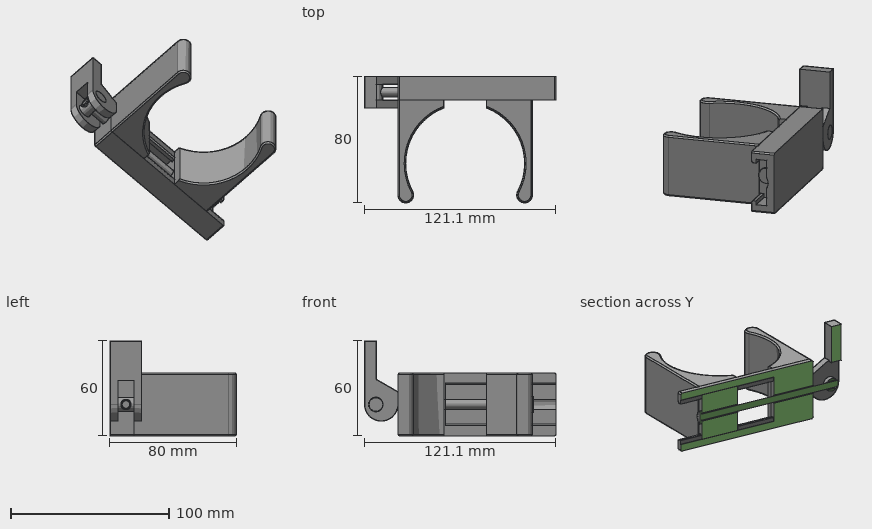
import cadquery as cq
import math


rail_length = 100.1
rail_depth = 15.0
height = 40.0
edge_chamfer = 1.0
slot_start = 30.0
slot_mouth_height = 25.0
slot_inner_height = 30.0
lip_thickness = 3.0
slot_depth = 10.0

jaw_width = 29.1
jaw_gap = 26.9
slider_setback = 1.0
jaw_reach = 80.0
tip_radius = 5.0
grip_radius = 37.5
grip_offset = 20.0

screw_diameter = 6.0
screw_hole_diameter = 6.5
head_diameter = 10.0
groove_diameter = 12.0
head_projection = 0.6
screw_end_chamfer = 0.6
screw_overhang = 4.7

lever_width = 20.0
lever_top = 60.0
arm_thickness = 7.5
arm_foot = 35.9
shoulder_angle = 30.0
cam_radius = 10.5
fork_gap = 9.9
fork_top = 35.1
pin_setback = 7.1
pin_diameter = 8.8
pin_hole_diameter = 9.0

screw_y = -lever_width / 2
screw_z = height / 2
tip_y = tip_radius - jaw_reach
grip_y = tip_y + grip_offset
sliding_jaw_start = jaw_width + jaw_gap
sliding_jaw_end = sliding_jaw_start + jaw_width
slider_start = sliding_jaw_start + slider_setback
slider_end = sliding_jaw_end - slider_setback
lever_x = -2 * cam_radius
pin_x = lever_x + pin_setback


def block(x_range, y_range, z_range):
    """Box between the given limits along each axis."""
    return cq.Workplane("XY").box(
        x_range[1] - x_range[0], y_range[1] - y_range[0], z_range[1] - z_range[0], centered=False
    ).translate((x_range[0], y_range[0], z_range[0]))


def x_cylinder(diameter, x_start, x_end):
    """Cylinder on the screw axis."""
    return (
        cq.Workplane("YZ", origin=(x_start, screw_y, screw_z))
        .circle(diameter / 2)
        .extrude(x_end - x_start)
    )


def y_cylinder(diameter):
    """Cylinder on the pin axis, as long as the lever is wide."""
    return (
        cq.Workplane("XZ", origin=(pin_x, 0, screw_z))
        .circle(diameter / 2)
        .extrude(lever_width)
    )


def t_bar(x_start, x_end):
    """T-shaped bar that fills the rail slot, without the chamfers of the lips."""
    lip_back = -rail_depth + lip_thickness
    half_mouth = slot_mouth_height / 2
    half_inner = slot_inner_height / 2
    neck = block((x_start, x_end), (-rail_depth, lip_back), (screw_z - half_mouth, screw_z + half_mouth))
    head = block(
        (x_start, x_end),
        (lip_back, -rail_depth + slot_depth),
        (screw_z - half_inner, screw_z + half_inner),
    )
    return neck.union(head)


def make_rail():
    rail = block((0, rail_length), (-rail_depth, 0), (0, height))
    rail = rail.edges("|Y").chamfer(edge_chamfer)
    rail = rail.cut(t_bar(slot_start, rail_length))
    half_mouth = slot_mouth_height / 2
    half_flare = half_mouth + edge_chamfer
    flare = (
        cq.Workplane("YZ", origin=(slot_start, -rail_depth, screw_z))
        .polyline([
            (0, -half_flare),
            (edge_chamfer, -half_mouth),
            (edge_chamfer, half_mouth),
            (0, half_flare),
        ])
        .close()
        .extrude(rail_length - slot_start)
    )
    groove = x_cylinder(groove_diameter, slot_start, rail_length)
    return rail.cut(flare).cut(groove).cut(x_cylinder(screw_hole_diameter, 0, slot_start))


def make_jaw():
    """Fixed jaw: a curved finger with its flat outer side at X = 0."""
    grip_x = tip_radius + math.sqrt((grip_radius + tip_radius) ** 2 - grip_offset**2)
    share = tip_radius / (grip_radius + tip_radius)
    tangent = (tip_radius + share * (grip_x - tip_radius), tip_y + share * grip_offset)
    grip_end_y = grip_y + math.sqrt(grip_radius**2 - (grip_x - jaw_width) ** 2)
    start_angle = math.atan2(tangent[1] - grip_y, tangent[0] - grip_x) % (2 * math.pi)
    end_angle = math.atan2(grip_end_y - grip_y, jaw_width - grip_x)
    middle_angle = (start_angle + end_angle) / 2
    grip_middle = (
        grip_x + grip_radius * math.cos(middle_angle),
        grip_y + grip_radius * math.sin(middle_angle),
    )
    jaw = (
        cq.Workplane("XY")
        .moveTo(0, -rail_depth)
        .lineTo(0, tip_y)
        .threePointArc((tip_radius, -jaw_reach), tangent)
        .threePointArc(grip_middle, (jaw_width, grip_end_y))
        .lineTo(jaw_width, -rail_depth)
        .close()
        .extrude(height)
    )
    outline = jaw.faces("|Z").edges().vals()
    plain = jaw.faces(">Y or >X").edges().vals()
    rims = [edge for edge in outline if not any(edge.isSame(other) for other in plain)]
    return jaw.newObject(rims).chamfer(edge_chamfer)


def make_sliding_jaw():
    """The fixed jaw's mirror image, carried along the rail."""
    return make_jaw().mirror("YZ").translate((sliding_jaw_end, 0, 0))


def make_slider():
    """T-shaped runner that fills the slot behind the sliding jaw."""
    return t_bar(slider_start, slider_end).cut(
        x_cylinder(screw_hole_diameter, slider_start, slider_end)
    )


def make_screw():
    """Screw from the pin to the slider, with a flat head that seats on the slider's far end."""
    shank = x_cylinder(screw_diameter, pin_x - screw_overhang, slider_end)
    shank = shank.faces("<X").chamfer(screw_end_chamfer)
    return shank.union(x_cylinder(head_diameter, slider_end, sliding_jaw_end + head_projection))


def make_pin():
    return y_cylinder(pin_diameter).cut(x_cylinder(screw_hole_diameter, lever_x, 0))


def make_lever():
    shoulder_drop = (2 * cam_radius - arm_thickness) * math.tan(math.radians(shoulder_angle))
    lever = (
        cq.Workplane("XZ", origin=(lever_x, 0, 0))
        .moveTo(0, lever_top)
        .lineTo(0, screw_z)
        .threePointArc((cam_radius, screw_z - cam_radius), (2 * cam_radius, screw_z))
        .lineTo(2 * cam_radius, arm_foot - shoulder_drop)
        .lineTo(arm_thickness, arm_foot)
        .lineTo(arm_thickness, lever_top)
        .close()
        .extrude(lever_width)
    )
    fork_sides = (screw_y - fork_gap / 2, screw_y + fork_gap / 2)
    fork = block((lever_x, 0), fork_sides, (0, fork_top))
    fork = fork.union(block((lever_x + arm_thickness, 0), fork_sides, (0, arm_foot)))
    return lever.cut(fork).cut(y_cylinder(pin_hole_diameter))


rail = make_rail()
fixed_jaw = make_jaw()
sliding_jaw = make_sliding_jaw()
slider = make_slider()
screw = make_screw()
pin = make_pin()
lever = make_lever()

result = cq.Compound.makeCompound([
    rail.val(),
    fixed_jaw.val(),
    sliding_jaw.val(),
    slider.val(),
    screw.val(),
    pin.val(),
    lever.val(),
])